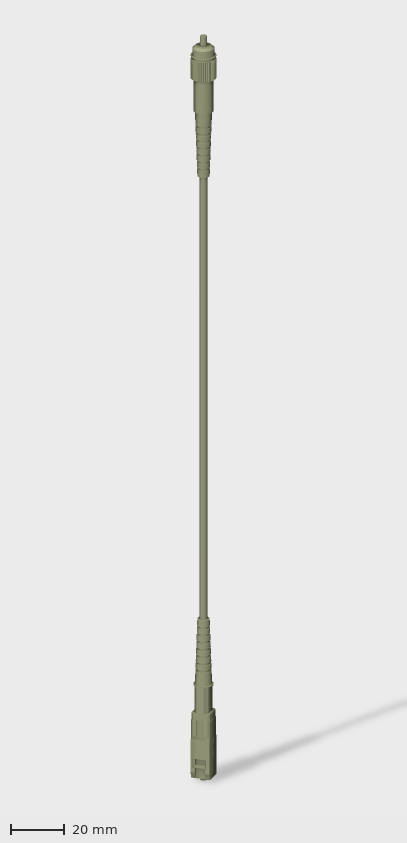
import cadquery as cq
import math

overall_length = 298.3
top_z = overall_length / 2
bottom_z = -top_z

ferrule_radius = 1.25
cable_radius = 1.4

boot_length = 26.0
boot_wide_radius = 3.2
boot_narrow_radius = 2.3
groove_count = 7
groove_pitch = 2.85
groove_width = 0.9
groove_depth = 0.45
first_groove = 5.8

barrel_radius = 2.4
sleeve_radius = 3.65
sleeve_top_z = 132.2
sleeve_bottom_z = 119.0

nut_radius = 9.52 / 2
nut_front_z = 145.2
nut_nose_radius = 4.1
nut_nose_chamfer = 0.9
rim_z = 141.5
rim_thickness = 0.3
knurl_top_z = 140.1
knurl_tooth_count = 40
knurl_depth = 0.35

flange_radius = 3.75
flange_top_z = -110.6
flange_thickness = 0.4
rear_width_x = 5.6
rear_width_y = 7.0
rear_chamfer = 1.4
side_slot_width = 1.0
side_slot_depth = 0.3
core_width = 5.0

housing_width = 7.5
collar_width = 7.2
housing_chamfer = 0.75
housing_top_z = -121.5
housing_bottom_z = -147.8
grip_top_z = -124.3
grip_bottom_z = -130.8
grip_groove_width = 2.7
grip_groove_depth = 0.3
neck_height = 1.3
neck_depth = 0.35
slot_width = 1.3
slot_depth = 0.5
upper_slot_length = 2.1
lower_slot_top_z = -136.8
lower_slot_length = 2.8
key_channel_width = 3.8
key_channel_top_z = -139.8
key_channel_depth = 0.8
key_bar_z = -142.8
key_bar_height = 1.0
key_notch_top_z = -139.7
key_notch_bottom_z = -143.6
key_notch_width = 1.0
key_notch_inset = 2.2
key_notch_depth = 0.3
lead_in_height = 2.5
lead_in_depth = 0.8


def cylinder(radius, z_low, z_high):
    return cq.Workplane("XY").workplane(offset=z_low).circle(radius).extrude(z_high - z_low)


def block(x_size, y_size, z_low, z_high, x=0, y=0):
    return (
        cq.Workplane("XY").workplane(offset=z_low).center(x, y)
        .rect(x_size, y_size).extrude(z_high - z_low)
    )


def ring(outer_radius, inner_radius, z_low, z_high):
    return cylinder(outer_radius, z_low, z_high).cut(cylinder(inner_radius, z_low, z_high))


def make_boot(wide_z, direction):
    """Tapered grooved sleeve that runs from its wide end along Z in the given direction."""
    narrow_z = wide_z + direction * boot_length
    boot = (
        cq.Workplane("XZ")
        .moveTo(cable_radius, wide_z)
        .lineTo(boot_wide_radius, wide_z)
        .lineTo(boot_narrow_radius, narrow_z)
        .lineTo(cable_radius, narrow_z)
        .close()
        .revolve(360, (0, 0, 0), (0, 1, 0))
    )
    taper = (boot_wide_radius - boot_narrow_radius) / boot_length
    for index in range(groove_count):
        distance = first_groove + index * groove_pitch
        middle_z = wide_z + direction * distance
        floor_radius = boot_wide_radius - taper * distance - groove_depth
        half_width = groove_width / 2
        boot = boot.cut(ring(boot_wide_radius, floor_radius, middle_z - half_width, middle_z + half_width))
    return boot


def make_round_body():
    """Rear sleeve, barrel inside the nut, and ferrule."""
    sleeve = cylinder(sleeve_radius, sleeve_bottom_z, sleeve_top_z)
    barrel = cylinder(barrel_radius, sleeve_top_z, nut_front_z)
    ferrule = cylinder(ferrule_radius, nut_front_z, top_z)
    return sleeve.union(barrel).union(ferrule)


def make_nut():
    """Coupling nut with a smooth chamfered nose, a rim and a straight knurled grip."""
    nose = cylinder(nut_nose_radius, knurl_top_z, nut_front_z).faces(">Z").chamfer(nut_nose_chamfer)
    rim = cylinder(nut_radius, rim_z - rim_thickness, rim_z)
    points = []
    for index in range(2 * knurl_tooth_count):
        radius = nut_radius if index % 2 == 0 else nut_radius - knurl_depth
        angle = math.pi * index / knurl_tooth_count
        points.append((radius * math.cos(angle), radius * math.sin(angle)))
    grip = (
        cq.Workplane("XY").workplane(offset=sleeve_top_z)
        .polyline(points).close().extrude(knurl_top_z - sleeve_top_z)
    )
    bore = cylinder(barrel_radius, sleeve_top_z, nut_front_z)
    return grip.union(nose).union(rim).cut(bore)


def make_square_body():
    """Flange, chamfered rear block, core inside the housing, and ferrule."""
    flange_bottom_z = flange_top_z - flange_thickness
    flange = cylinder(flange_radius, flange_bottom_z, flange_top_z)
    rear = block(rear_width_x, rear_width_y, housing_top_z, flange_bottom_z).edges("|Z").chamfer(rear_chamfer)
    for side in (-1, 1):
        slot_x = side * (rear_width_x - side_slot_depth) / 2
        rear = rear.cut(block(side_slot_depth, side_slot_width, housing_top_z, flange_bottom_z, x=slot_x))
    core = block(core_width, core_width, housing_bottom_z, housing_top_z)
    ferrule = cylinder(ferrule_radius, bottom_z, housing_bottom_z)
    return flange.union(rear).union(core).union(ferrule)


def cut_grip(housing):
    """Shallow vertical groove in the -Y side of the grip, and a neck across both Y sides below it."""
    groove_y = -(housing_width - grip_groove_depth) / 2
    housing = housing.cut(block(grip_groove_width, grip_groove_depth, grip_bottom_z, grip_top_z, y=groove_y))
    for side in (-1, 1):
        neck_y = side * (housing_width - neck_depth) / 2
        housing = housing.cut(
            block(housing_width, neck_depth, grip_bottom_z - neck_height, grip_bottom_z, y=neck_y)
        )
    return housing


def cut_side_slots(housing):
    """Two latch slots, one above the other, on each X side."""
    upper_slot_top_z = grip_bottom_z - neck_height
    slot_offset = (housing_width - slot_depth) / 2
    for side in (-1, 1):
        for slot_top_z, length in (
            (upper_slot_top_z, upper_slot_length),
            (lower_slot_top_z, lower_slot_length),
        ):
            slot = block(slot_depth, slot_width, slot_top_z - length, slot_top_z, x=side * slot_offset)
            housing = housing.cut(slot)
    return housing


def cut_key_side(housing):
    """Lead-in slope, barred channel and side notches low on the -Y face."""
    front_y = -housing_width / 2
    slope = (
        cq.Workplane("YZ")
        .moveTo(front_y, housing_bottom_z)
        .lineTo(front_y + lead_in_depth, housing_bottom_z)
        .lineTo(front_y, housing_bottom_z + lead_in_height)
        .close()
        .extrude(housing_width / 2, both=True)
    )
    channel_y = front_y + key_channel_depth / 2
    channel = block(key_channel_width, key_channel_depth, housing_bottom_z, key_channel_top_z, y=channel_y)
    bar = block(
        key_channel_width,
        key_channel_depth,
        key_bar_z - key_bar_height / 2,
        key_bar_z + key_bar_height / 2,
        y=channel_y,
    )
    housing = housing.cut(slope).cut(channel.cut(bar))
    for side in (-1, 1):
        housing = housing.cut(
            block(
                key_notch_width,
                key_notch_depth,
                key_notch_bottom_z,
                key_notch_top_z,
                x=side * (key_notch_inset + key_notch_width / 2),
                y=front_y + key_notch_depth / 2,
            )
        )
    return housing


def make_housing():
    """Square outer housing that slides over the core of the inner body."""
    lower_top_z = grip_bottom_z - neck_height
    upper = block(housing_width, housing_width, lower_top_z, grip_top_z).edges("|Z").chamfer(housing_chamfer)
    lower = block(housing_width, housing_width, housing_bottom_z, lower_top_z)
    collar = block(collar_width, collar_width, grip_top_z, housing_top_z).edges("|Z").chamfer(housing_chamfer)
    housing = upper.union(lower).union(collar)
    housing = cut_grip(housing)
    housing = cut_side_slots(housing)
    housing = cut_key_side(housing)
    return housing.cut(block(core_width, core_width, housing_bottom_z, housing_top_z))


cable = cylinder(cable_radius, flange_top_z, sleeve_bottom_z)
round_body = make_round_body()
coupling_nut = make_nut()
square_body = make_square_body()
square_housing = make_housing()
boots = [make_boot(sleeve_bottom_z, -1), make_boot(flange_top_z, 1)]

result = cq.Compound.makeCompound(
    [
        cable.val(),
        round_body.val(),
        coupling_nut.val(),
        square_body.val(),
        square_housing.val(),
        *[boot.val() for boot in boots],
    ]
)